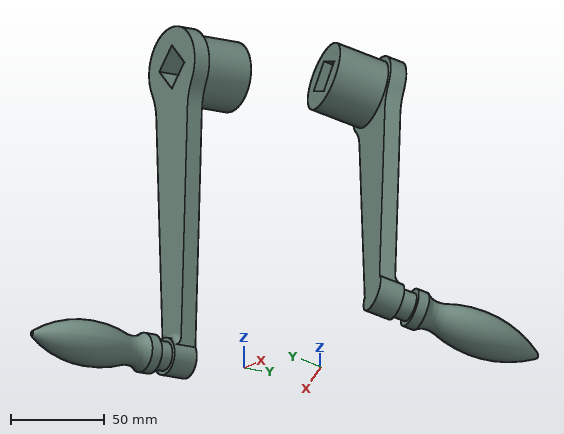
import cadquery as cq
import math


center_distance = 160.0
arm_thickness = 9.3
head_radius = 22.0
side_half_width_top = 15.0
side_top_z = 135.0
side_half_width_bottom = 8.8
side_bottom_z = 5.3
head_blend_radius = 31.7

hub_radius = 19.0
hub_length = 28.8
square_side = 17.0

boss_radius = 10.1
boss_length = 14.2
boss_fillet = 3.1

neck_radius = 8.0
collar_radius = 10.7
collar_start = 22.5
collar_end = 28.8
flare_end = 36.0
swell_start = 40.5
swell_start_radius = 8.5
belly_position = 61.0
belly_radius = 12.5
tip_start = 97.6
tip_start_radius = 2.1
grip_end = 98.8
tip_end_radius = 1.2


def plate(outline, thickness):
    """Close an XZ outline and extrude it from Y = 0 toward -Y."""
    return outline.close().extrude(thickness)


def arm_outline():
    """Tapered bar, blended by tangent concave arcs into the round head."""
    side_slope = (side_half_width_top - side_half_width_bottom) / (side_top_z - side_bottom_z)
    taper = math.atan(side_slope)
    side_offset = side_half_width_bottom * math.cos(taper) - side_bottom_z * math.sin(taper)
    head_across = -center_distance * math.sin(taper)
    head_along = center_distance * math.cos(taper)
    blend_across = side_offset + head_blend_radius
    center_gap = head_radius + head_blend_radius
    blend_along = head_along - math.sqrt(center_gap**2 - (blend_across - head_across) ** 2)

    def to_xz(across, along):
        x = across * math.cos(taper) + along * math.sin(taper)
        z = along * math.cos(taper) - across * math.sin(taper)
        return x, z

    blend_x, blend_z = to_xz(blend_across, blend_along)
    line_x, line_z = to_xz(side_offset, blend_along)
    head_share = head_radius / center_gap
    contact_x = blend_x * head_share
    contact_z = center_distance + (blend_z - center_distance) * head_share

    line_angle = math.atan2(line_z - blend_z, line_x - blend_x) % math.tau
    contact_angle = math.atan2(contact_z - blend_z, contact_x - blend_x) % math.tau
    middle_angle = (line_angle + contact_angle) / 2
    middle_x = blend_x + head_blend_radius * math.cos(middle_angle)
    middle_z = blend_z + head_blend_radius * math.sin(middle_angle)

    base_x = side_offset / math.cos(taper)
    return (
        cq.Workplane("XZ")
        .moveTo(base_x, 0)
        .lineTo(line_x, line_z)
        .threePointArc((middle_x, middle_z), (contact_x, contact_z))
        .threePointArc((0, center_distance + head_radius), (-contact_x, contact_z))
        .threePointArc((-middle_x, middle_z), (-line_x, line_z))
        .lineTo(-base_x, 0)
    )


def boss_fillet_ring():
    """Concave ring between the boss and the arm's front face."""
    ring_middle = boss_fillet * (1 - math.sqrt(0.5))
    return (
        cq.Workplane("XY")
        .moveTo(0, -arm_thickness)
        .lineTo(boss_radius + boss_fillet, -arm_thickness)
        .threePointArc(
            (boss_radius + ring_middle, -arm_thickness - ring_middle),
            (boss_radius, -arm_thickness - boss_fillet),
        )
        .lineTo(0, -arm_thickness - boss_fillet)
        .close()
        .revolve(360, (0, 0), (0, 1))
    )


def make_arm():
    bar = plate(arm_outline(), arm_thickness)
    boss = cq.Workplane("XZ").circle(boss_radius).extrude(boss_length)
    ring = boss_fillet_ring().intersect(plate(arm_outline(), boss_length))
    return bar.union(boss).union(ring)


def make_hub():
    return (
        cq.Workplane("XZ")
        .center(0, center_distance)
        .circle(hub_radius)
        .extrude(-hub_length)
    )


def make_square_hole():
    return (
        cq.Workplane("XZ", origin=(0, hub_length, center_distance))
        .transformed(rotate=(0, 0, 45))
        .rect(square_side, square_side)
        .extrude(hub_length + arm_thickness)
    )


def make_grip():
    """Turned pin, collar, waist and swelling grip with a small blunt tip."""
    flare_length = flare_end - collar_end
    flare_drop = collar_radius - neck_radius
    flare_radius = (flare_length**2 + flare_drop**2) / (2 * flare_drop)
    return (
        cq.Workplane("XY")
        .lineTo(neck_radius, 0)
        .lineTo(neck_radius, -collar_start)
        .lineTo(collar_radius, -collar_start)
        .lineTo(collar_radius, -collar_end)
        .radiusArc((neck_radius, -flare_end), -flare_radius)
        .tangentArcPoint((swell_start_radius, -swell_start), relative=False)
        .threePointArc((belly_radius, -belly_position), (tip_start_radius, -tip_start))
        .lineTo(tip_end_radius, -grip_end)
        .lineTo(0, -grip_end)
        .close()
        .revolve(360, (0, 0), (0, 1))
    )


result = make_arm().union(make_hub()).union(make_grip()).cut(make_square_hole())